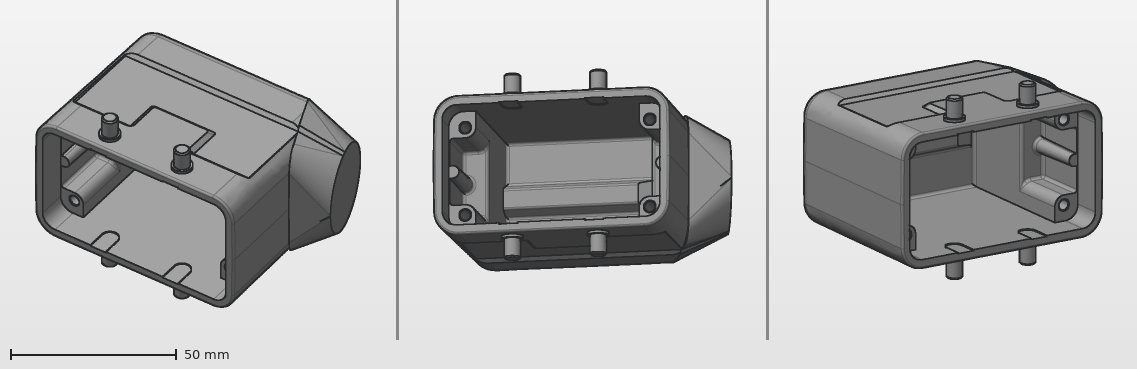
import cadquery as cq
import math

BODY_DEPTH = 57.0
MOUTH_HALF_X = 36.5
MOUTH_HALF_Z = 21.5
BODY_DRAFT = 0.5
SIDE_PEAK = 0.2
BODY_CORNER_RADIUS = 7.6
CLOSED_END_RADIUS = 3.5
MOUTH_EDGE_RADIUS = 0.7

CAVITY_HALF_X = 33.6
CAVITY_HALF_Z = 18.6
CAVITY_CORNER_RADIUS = 4.5
CAVITY_DRAFT_ANGLE = 0.4
POST_FACE_Y = 9.5
LEDGE_Y = 28.0
FLOOR_Y = 53.5
POCKET_HALF_X = 25.2
LEDGE_HALF_X = 33.2
LEDGE_HALF_Z = 10.35
POST_CORNER_RADIUS = 3.2
CAVITY_EDGE_RADIUS = 1.0

SCREW_PITCH_X = 57.0
SCREW_PITCH_Z = 27.0
SCREW_DIAMETER = 3.3
SCREW_MOUTH_DIAMETER = 3.8
SCREW_DEPTH = 12.0

RIB_RADIUS = 2.3
RIB_TIP_X = 30.0
RIB_WALL_OVERLAP = 1.0
RIB_DRAFT_ANGLE = 1.2
RIB_BASE_RADIUS = 0.9

RIDGE_HEIGHT = 4.0
RIDGE_BASE_HALF_Z = 5.0
RIDGE_TOP_HALF_Z = 3.1
RIDGE_EDGE_RADIUS = 0.8
RIDGE_BASE_RADIUS = 1.0
RIDGE_FOOT_HALF_Z = 8.0
RIDGE_FOOT_DEPTH = 1.0
RAMP_START_X = 16.5
RAMP_END_X = 24.0

PIN_X = 13.25
PIN_Y = 6.3
PIN_TIP_Z = 28.5
PIN_DIAMETER = 5.0
PIN_CHAMFER = 0.5
COLLAR_DIAMETER = 6.6
COLLAR_TOP_Z = 22.35
PIN_ROOT_Z = 20.0
RELIEF_WIDTH = 5.65
RELIEF_DEPTH = 0.3

PANEL_FLOOR_Z = 19.95
PANEL_HALF_X = 31.8
PANEL_BOTTOM_Y = 14.85
PANEL_TOP_Y = 41.5
PANEL_BEVEL_ANGLE = 50.0
PANEL_CUT_HEIGHT = 2.0
TAB_HALF_X = 11.65
TAB_TOP_Y = 26.8
TAB_CORNER_RADIUS = 1.5

NOZZLE_TIP_X = 48.67
NOZZLE_TOP_Y = 61.28
NOZZLE_RADIUS = 14.25
NOZZLE_TILT = 16.0
ROOT_TOP = (25.2, 57.0)
ROOT_BOTTOM = (36.2, 29.9)
ROOT_HALF_Z = 21.05
ROOT_LOWER_HALF_Z = PANEL_FLOOR_Z
ROOT_TOP_RADIUS = 3.5
ROOT_BOTTOM_RADIUS = 6.5
TRIM_MARGIN = 5.0
BAND_TOP = -0.4
BAND_BOTTOM = -2.1
SHORT_EDGE = 0.05


def section_at(y):
    """Sketch plane parallel to XZ at the given Y."""
    return cq.Workplane("XZ", origin=(0, y, 0))


def box_between(x_range, y_range, z_range):
    size = [high - low for low, high in (x_range, y_range, z_range)]
    corner = (x_range[0], y_range[0], z_range[0])
    return cq.Workplane("XY").box(*size, centered=False).translate(corner)


def fillet_nearest(solid, point, radius):
    return solid.edges(cq.NearestToPointSelector(point)).fillet(radius)


def make_body():
    def outline(inset):
        half_x = MOUTH_HALF_X - inset
        half_z = MOUTH_HALF_Z - inset
        edge_x = half_x - SIDE_PEAK * half_z / (half_z - BODY_CORNER_RADIUS)
        return [
            (-half_x, 0), (-edge_x, half_z), (edge_x, half_z),
            (half_x, 0), (edge_x, -half_z), (-edge_x, -half_z),
        ]

    body = (
        section_at(0).polyline(outline(0)).close()
        .workplane(offset=-BODY_DEPTH).polyline(outline(BODY_DRAFT)).close()
        .loft(ruled=True, combine=True)
    )
    middle_y = BODY_DEPTH / 2
    for side_x in (-1, 1):
        for side_z in (-1, 1):
            corner = (side_x * MOUTH_HALF_X, middle_y, side_z * MOUTH_HALF_Z)
            body = fillet_nearest(body, corner, BODY_CORNER_RADIUS)
    body = body.faces(">Y").edges().fillet(CLOSED_END_RADIUS)
    return body.faces("<Y").edges().fillet(MOUTH_EDGE_RADIUS)


def make_panel_cutter():
    outline = [
        (-PANEL_HALF_X, PANEL_BOTTOM_Y), (-TAB_HALF_X, PANEL_BOTTOM_Y),
        (-TAB_HALF_X, TAB_TOP_Y), (TAB_HALF_X, TAB_TOP_Y),
        (TAB_HALF_X, PANEL_BOTTOM_Y), (PANEL_HALF_X, PANEL_BOTTOM_Y),
        (PANEL_HALF_X, PANEL_TOP_Y), (-PANEL_HALF_X, PANEL_TOP_Y),
    ]
    upper = (
        cq.Workplane("XY", origin=(0, 0, PANEL_FLOOR_Z))
        .polyline(outline).close()
        .extrude(PANEL_CUT_HEIGHT, taper=-PANEL_BEVEL_ANGLE)
    )
    middle_z = PANEL_FLOOR_Z + PANEL_CUT_HEIGHT / 2
    bevel_shift = PANEL_CUT_HEIGHT / 2 * math.tan(math.radians(PANEL_BEVEL_ANGLE))
    for side_x in (-1, 1):
        corner = (side_x * (TAB_HALF_X - bevel_shift), TAB_TOP_Y - bevel_shift, middle_z)
        upper = fillet_nearest(upper, corner, TAB_CORNER_RADIUS)
    return upper.union(upper.mirror("XY"))


def make_nozzle():
    def section(center, tilt, half_outline, top_radius, bottom_radius):
        angle = math.radians(tilt)
        plane = cq.Plane(
            origin=(center[0], center[1], 0),
            xDir=(-math.sin(angle), math.cos(angle), 0),
            normal=(math.cos(angle), math.sin(angle), 0),
        )
        a, b, c, d, e, f = half_outline
        am, bm, cm, dm, em, fm = [(u, -z) for u, z in half_outline]
        return (
            cq.Workplane(plane).moveTo(*am).lineTo(*a)
            .radiusArc(b, -top_radius).lineTo(*c).lineTo(*d).lineTo(*e)
            .radiusArc(f, -bottom_radius).lineTo(*fm)
            .radiusArc(em, -bottom_radius).lineTo(*dm).lineTo(*cm).lineTo(*bm)
            .radiusArc(am, -top_radius).close().val()
        )

    run_x = ROOT_BOTTOM[0] - ROOT_TOP[0]
    run_y = ROOT_TOP[1] - ROOT_BOTTOM[1]
    root_half = math.hypot(run_x, run_y) / 2
    root_center = ((ROOT_TOP[0] + ROOT_BOTTOM[0]) / 2, (ROOT_TOP[1] + ROOT_BOTTOM[1]) / 2)
    root = section(
        root_center,
        math.degrees(math.atan2(run_x, run_y)),
        [
            (root_half, ROOT_HALF_Z - ROOT_TOP_RADIUS),
            (root_half - ROOT_TOP_RADIUS, ROOT_HALF_Z),
            (BAND_TOP, ROOT_HALF_Z),
            (BAND_BOTTOM, ROOT_LOWER_HALF_Z),
            (ROOT_BOTTOM_RADIUS - root_half, ROOT_LOWER_HALF_Z),
            (-root_half, ROOT_LOWER_HALF_Z - ROOT_BOTTOM_RADIUS),
        ],
        ROOT_TOP_RADIUS,
        ROOT_BOTTOM_RADIUS,
    )

    def on_circle(u):
        return (u, math.sqrt(NOZZLE_RADIUS ** 2 - u ** 2))

    tilt = math.radians(NOZZLE_TILT)
    end_center = (
        NOZZLE_TIP_X - NOZZLE_RADIUS * math.sin(tilt),
        NOZZLE_TOP_Y - NOZZLE_RADIUS * math.cos(tilt),
    )
    crown = math.sqrt(NOZZLE_RADIUS ** 2 - SHORT_EDGE ** 2)
    end = section(
        end_center,
        NOZZLE_TILT,
        [
            (crown, SHORT_EDGE),
            on_circle(BAND_TOP + SHORT_EDGE),
            on_circle(BAND_TOP),
            on_circle(BAND_BOTTOM),
            on_circle(BAND_BOTTOM - SHORT_EDGE),
            (-crown, SHORT_EDGE),
        ],
        NOZZLE_RADIUS,
        NOZZLE_RADIUS,
    )
    return cq.Workplane(obj=cq.Solid.makeLoft([root, end], True))


def trim_at_nozzle_root(body):
    """Remove the body corner that lies beyond the nozzle's root plane."""
    run_x = ROOT_BOTTOM[0] - ROOT_TOP[0]
    run_y = ROOT_BOTTOM[1] - ROOT_TOP[1]
    above_top = (
        ROOT_TOP[0] - TRIM_MARGIN * run_x / -run_y,
        ROOT_TOP[1] + TRIM_MARGIN,
    )
    below_bottom = (
        ROOT_BOTTOM[0] + TRIM_MARGIN * run_x / -run_y,
        ROOT_BOTTOM[1] - TRIM_MARGIN,
    )
    outside_corner = (below_bottom[0], above_top[1])
    trim = (
        cq.Workplane("XY", origin=(0, 0, -MOUTH_HALF_Z))
        .polyline([above_top, below_bottom, outside_corner])
        .close().extrude(2 * MOUTH_HALF_Z)
    )
    return body.cut(trim)


def make_cavity():
    draft = math.tan(math.radians(CAVITY_DRAFT_ANGLE))
    mouth = (
        section_at(0).rect(2 * CAVITY_HALF_X, 2 * CAVITY_HALF_Z)
        .extrude(-POST_FACE_Y, taper=CAVITY_DRAFT_ANGLE)
        .edges("not(#Y)").edges("not(|X or |Z)").fillet(CAVITY_CORNER_RADIUS)
    )
    floor_half_z = CAVITY_HALF_Z - FLOOR_Y * draft
    pocket_profile = [
        (0, -CAVITY_HALF_Z), (FLOOR_Y, -floor_half_z),
        (FLOOR_Y, floor_half_z), (0, CAVITY_HALF_Z),
    ]
    pocket = (
        cq.Workplane("YZ", origin=(-POCKET_HALF_X, 0, 0))
        .polyline(pocket_profile).close().extrude(2 * POCKET_HALF_X)
        .faces(">Y").edges().fillet(CAVITY_EDGE_RADIUS)
    )
    bays = box_between(
        (-LEDGE_HALF_X, LEDGE_HALF_X), (0, LEDGE_Y), (-LEDGE_HALF_Z, LEDGE_HALF_Z)
    )
    cavity = mouth.union(pocket).union(bays)
    post_middle_y = (POST_FACE_Y + LEDGE_Y) / 2
    for side_x in (-1, 1):
        for side_z in (-1, 1):
            corner = (side_x * POCKET_HALF_X, post_middle_y, side_z * LEDGE_HALF_Z)
            cavity = fillet_nearest(cavity, corner, POST_CORNER_RADIUS)
    ledge_middle_x = (POCKET_HALF_X + LEDGE_HALF_X) / 2
    for side_x in (-1, 1):
        for rounded_x in (POCKET_HALF_X, LEDGE_HALF_X):
            cavity = fillet_nearest(cavity, (side_x * rounded_x, LEDGE_Y, 0), CAVITY_EDGE_RADIUS)
        for side_z in (-1, 1):
            side_edge = (side_x * ledge_middle_x, LEDGE_Y, side_z * LEDGE_HALF_Z)
            cavity = fillet_nearest(cavity, side_edge, CAVITY_EDGE_RADIUS)
    return cavity


def make_ridge():
    top_y = FLOOR_Y - RIDGE_HEIGHT
    profile = [
        (FLOOR_Y, -RIDGE_BASE_HALF_Z), (top_y, -RIDGE_TOP_HALF_Z),
        (top_y, RIDGE_TOP_HALF_Z), (FLOOR_Y, RIDGE_BASE_HALF_Z),
    ]
    ridge = (
        cq.Workplane("YZ", origin=(-POCKET_HALF_X, 0, 0))
        .polyline(profile).close().extrude(2 * POCKET_HALF_X)
    )
    ramp_outline = [
        (RAMP_START_X, top_y), (RAMP_END_X, FLOOR_Y),
        (POCKET_HALF_X, FLOOR_Y), (POCKET_HALF_X, top_y),
    ]
    ramp = (
        cq.Workplane("XY", origin=(0, 0, -RIDGE_BASE_HALF_Z))
        .polyline(ramp_outline).close().extrude(2 * RIDGE_BASE_HALF_Z)
    )
    ridge = ridge.cut(ramp)
    ridge = ridge.faces("<Y").edges("|X").fillet(RIDGE_EDGE_RADIUS)
    foot = box_between(
        (-POCKET_HALF_X, POCKET_HALF_X),
        (FLOOR_Y, FLOOR_Y + RIDGE_FOOT_DEPTH),
        (-RIDGE_FOOT_HALF_Z, RIDGE_FOOT_HALF_Z),
    )
    ridge = ridge.union(foot)
    for side_z in (-1, 1):
        ridge = fillet_nearest(ridge, (0, FLOOR_Y, side_z * RIDGE_BASE_HALF_Z), RIDGE_BASE_RADIUS)
    return ridge


def make_rib(side):
    """Half-round rib narrowing toward the mouth, on a foot embedded in the ledge."""
    center_x = RIB_TIP_X + RIB_RADIUS
    wall_x = CAVITY_HALF_X + RIB_WALL_OVERLAP
    rib = (
        section_at(LEDGE_Y)
        .moveTo(wall_x, -RIB_RADIUS).lineTo(center_x, -RIB_RADIUS)
        .threePointArc((RIB_TIP_X, 0), (center_x, RIB_RADIUS))
        .lineTo(wall_x, RIB_RADIUS).close()
        .extrude(LEDGE_Y - POST_FACE_Y, taper=RIB_DRAFT_ANGLE)
    )
    foot_margin = 2 * RIB_BASE_RADIUS
    foot_half_z = RIB_RADIUS + foot_margin
    foot = box_between(
        (RIB_TIP_X - foot_margin, wall_x),
        (LEDGE_Y, LEDGE_Y + foot_margin),
        (-foot_half_z, foot_half_z),
    )
    rib = fillet_nearest(rib.union(foot), (RIB_TIP_X, LEDGE_Y, 0), RIB_BASE_RADIUS)
    return rib if side > 0 else rib.mirror("YZ")


def make_screw_hole(x, z):
    lead_in = (SCREW_MOUTH_DIAMETER - SCREW_DIAMETER) / 2
    hole = section_at(POST_FACE_Y).center(x, z).circle(SCREW_DIAMETER / 2).extrude(-SCREW_DEPTH)
    mouth = (
        section_at(POST_FACE_Y).center(x, z).circle(SCREW_MOUTH_DIAMETER / 2)
        .workplane(offset=-lead_in).circle(SCREW_DIAMETER / 2).loft(combine=True)
    )
    return hole.union(mouth)


def make_pin(x, side):
    pin = (
        cq.Workplane("XY", origin=(x, PIN_Y, PIN_ROOT_Z))
        .circle(PIN_DIAMETER / 2).extrude(PIN_TIP_Z - PIN_ROOT_Z)
        .faces(">Z").chamfer(PIN_CHAMFER)
    )
    collar = (
        cq.Workplane("XY", origin=(x, PIN_Y, PIN_ROOT_Z))
        .circle(COLLAR_DIAMETER / 2).extrude(COLLAR_TOP_Z - PIN_ROOT_Z)
    )
    upper = pin.union(collar)
    return upper if side > 0 else upper.mirror("XY")


def make_pin_relief(x):
    """Round-ended slots, open at the mouth, in both long cavity walls."""
    half_height = CAVITY_HALF_Z + RELIEF_DEPTH
    start = cq.Workplane("XY", origin=(x, 0, -half_height))
    slot = start.center(0, PIN_Y / 2).rect(RELIEF_WIDTH, PIN_Y).extrude(2 * half_height)
    round_end = start.center(0, PIN_Y).circle(RELIEF_WIDTH / 2).extrude(2 * half_height)
    return slot.union(round_end)


def make_housing():
    housing = trim_at_nozzle_root(make_body())
    housing = housing.cut(make_panel_cutter()).union(make_nozzle())
    housing = housing.cut(make_cavity()).union(make_ridge())
    for side_x in (-1, 1):
        pin_x = side_x * PIN_X
        screw_x = side_x * SCREW_PITCH_X / 2
        housing = housing.union(make_rib(side_x)).cut(make_pin_relief(pin_x))
        for side_z in (-1, 1):
            housing = housing.cut(make_screw_hole(screw_x, side_z * SCREW_PITCH_Z / 2))
            housing = housing.union(make_pin(pin_x, side_z))
    return housing


result = make_housing()